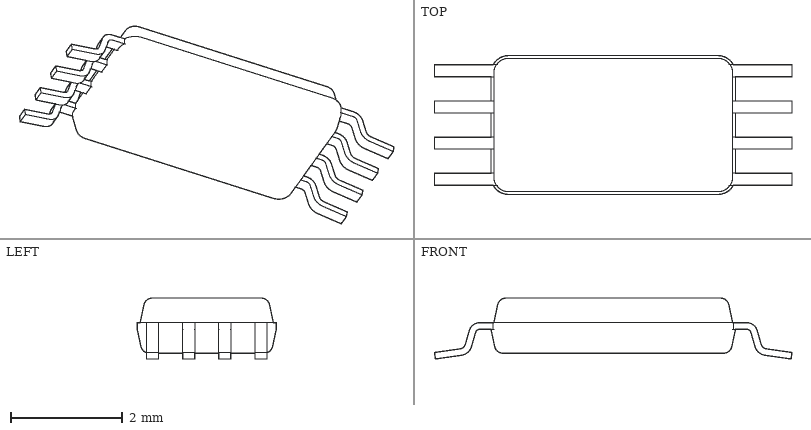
import cadquery as cq
import math

LEAD_SPAN = 6.43
HOUSING_WIDTH = 2.5
HOUSING_LENGTH = 4.4
TOP_Z = 1.1
BOTTOM_Z = 0.1

LEAD_COUNT = 4
LEAD_PITCH = 0.65
LEAD_WIDTH = 0.22
LEAD_THICKNESS = 0.12
LEAD_TOP_Z = 0.655
SHOULDER_X = 2.4
LEG_TILT = 16.0
FOOT_SLOPE = 8.0
SHOULDER_INNER_RADIUS = 0.08
SHOULDER_OUTER_RADIUS = SHOULDER_INNER_RADIUS + LEAD_THICKNESS
ANKLE_INNER_RADIUS = 0.11
ANKLE_OUTER_RADIUS = ANKLE_INNER_RADIUS + LEAD_THICKNESS

BAND_TOP_Z = LEAD_TOP_Z
BAND_BOTTOM_Z = LEAD_TOP_Z - LEAD_THICKNESS
BAND_CORNER_RADIUS = 0.32
UPPER_INSET = 0.05
DRAFT_ANGLE = 12.0
RIM_FILLET = 0.16

DIMPLE_X = -1.31
DIMPLE_Y = 0.36
DIMPLE_RADIUS = 0.3
DIMPLE_DEPTH = 0.095
DIMPLE_FILLET = DIMPLE_DEPTH / 2


def rounded_slab(length, width, corner_radius, base_z, height, draft=0.0):
    """Block with rounded upright corners; a negative height builds it downwards."""
    outline = cq.Sketch().rect(length, width).vertices().fillet(corner_radius)
    return cq.Workplane("XY").workplane(offset=base_z).placeSketch(outline).extrude(height, taper=draft)


def make_dimple_cutter():
    """Solid of revolution with a rounded rim above and a rounded floor edge below."""
    floor_z = TOP_Z - DIMPLE_DEPTH
    middle_z = TOP_Z - DIMPLE_FILLET
    rim_radius = DIMPLE_RADIUS + DIMPLE_FILLET
    floor_radius = DIMPLE_RADIUS - DIMPLE_FILLET
    arc_reach = DIMPLE_FILLET * (1 - math.sqrt(0.5))
    profile = (
        cq.Workplane("XZ")
        .moveTo(0, floor_z)
        .lineTo(floor_radius, floor_z)
        .threePointArc((DIMPLE_RADIUS - arc_reach, floor_z + arc_reach), (DIMPLE_RADIUS, middle_z))
        .threePointArc((DIMPLE_RADIUS + arc_reach, TOP_Z - arc_reach), (rim_radius, TOP_Z))
        .lineTo(0, TOP_Z)
        .close()
    )
    return profile.revolve(360, (0, 0), (0, 1)).translate((DIMPLE_X, DIMPLE_Y, 0))


def make_housing_blank():
    """Moulded housing before the lead slots are cut."""
    band = rounded_slab(
        HOUSING_LENGTH, HOUSING_WIDTH, BAND_CORNER_RADIUS, BAND_BOTTOM_Z, BAND_TOP_Z - BAND_BOTTOM_Z
    )
    upper = rounded_slab(
        HOUSING_LENGTH - 2 * UPPER_INSET,
        HOUSING_WIDTH - 2 * UPPER_INSET,
        BAND_CORNER_RADIUS - UPPER_INSET,
        BAND_TOP_Z,
        TOP_Z - BAND_TOP_Z,
        DRAFT_ANGLE,
    )
    lower = rounded_slab(
        HOUSING_LENGTH,
        HOUSING_WIDTH,
        BAND_CORNER_RADIUS,
        BAND_BOTTOM_Z,
        BOTTOM_Z - BAND_BOTTOM_Z,
        DRAFT_ANGLE,
    )
    upper = upper.faces(">Z").edges().fillet(RIM_FILLET)
    lower = lower.faces("<Z").edges().fillet(RIM_FILLET)
    return band.union(upper).union(lower).cut(make_dimple_cutter())


def direction(angle):
    """Unit vector in the XZ profile plane, with the angle in degrees up from +X."""
    return cq.Vector(math.cos(math.radians(angle)), math.sin(math.radians(angle)))


def flat(vector):
    """Profile-plane coordinates of a vector."""
    return vector.x, vector.y


def make_lead():
    """One lead along X, centred on Y = 0 and symmetric about X = 0."""
    leg_normal = direction(LEG_TILT)
    leg_run = direction(LEG_TILT - 90)
    foot_normal = direction(90 - FOOT_SLOPE)
    shoulder_mid = direction((90 + LEG_TILT) / 2)
    ankle_mid = (leg_normal + foot_normal).normalized()

    toe_top = cq.Vector(LEAD_SPAN / 2, LEAD_THICKNESS * foot_normal.y)
    toe_bottom = toe_top - foot_normal * LEAD_THICKNESS

    shoulder_centre = cq.Vector(SHOULDER_X, LEAD_TOP_Z - SHOULDER_OUTER_RADIUS)
    leg_start = shoulder_centre + leg_normal * (SHOULDER_OUTER_RADIUS + ANKLE_INNER_RADIUS)
    clearance = (leg_start - toe_top).dot(foot_normal)
    leg_length = (ANKLE_INNER_RADIUS - clearance) / leg_run.dot(foot_normal)
    ankle_centre = leg_start + leg_run * leg_length

    half_profile = (
        cq.Workplane("XZ")
        .moveTo(0, LEAD_TOP_Z)
        .lineTo(SHOULDER_X, LEAD_TOP_Z)
        .threePointArc(
            flat(shoulder_centre + shoulder_mid * SHOULDER_OUTER_RADIUS),
            flat(shoulder_centre + leg_normal * SHOULDER_OUTER_RADIUS),
        )
        .lineTo(*flat(ankle_centre - leg_normal * ANKLE_INNER_RADIUS))
        .threePointArc(
            flat(ankle_centre - ankle_mid * ANKLE_INNER_RADIUS),
            flat(ankle_centre - foot_normal * ANKLE_INNER_RADIUS),
        )
        .lineTo(*flat(toe_top))
        .lineTo(*flat(toe_bottom))
        .lineTo(*flat(ankle_centre - foot_normal * ANKLE_OUTER_RADIUS))
        .threePointArc(
            flat(ankle_centre - ankle_mid * ANKLE_OUTER_RADIUS),
            flat(ankle_centre - leg_normal * ANKLE_OUTER_RADIUS),
        )
        .lineTo(*flat(shoulder_centre + leg_normal * SHOULDER_INNER_RADIUS))
        .threePointArc(
            flat(shoulder_centre + shoulder_mid * SHOULDER_INNER_RADIUS),
            (SHOULDER_X, LEAD_TOP_Z - LEAD_THICKNESS),
        )
        .lineTo(0, LEAD_TOP_Z - LEAD_THICKNESS)
        .close()
    )
    half = half_profile.extrude(LEAD_WIDTH / 2, both=True)
    return half.union(half.mirror("YZ"))


leads = []
for index in range(LEAD_COUNT):
    lead_y = (index - (LEAD_COUNT - 1) / 2) * LEAD_PITCH
    leads.append(make_lead().translate((0, lead_y, 0)))

housing = make_housing_blank()
for lead in leads:
    housing = housing.cut(lead)

result = cq.Compound.makeCompound([housing.val(), *[lead.val() for lead in leads]])